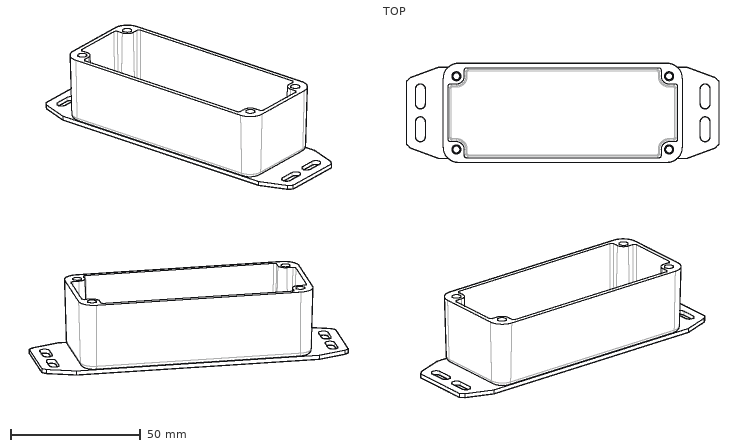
import cadquery as cq
import math

plate_length = 121.1
plate_width = 35.5
plate_thickness = 1.7
plate_ear_length = 12.6
plate_end_width = 24.2
plate_corner_cut = 1.6

slot_length = 9.6
slot_width = 3.8
slot_end_distance = 5.5
slot_spacing = 12.7

overall_height = 28.5
box_length = 92.5
box_width = 38.5
box_height = overall_height - plate_thickness
box_corner_radius = 5.9
box_bottom_radius = 1.7
draft_angle = 1.6
wall_thickness = 1.8
floor_thickness = 1.8
floor_edge_radius = 0.5
cavity_corner_radius = 1.0

boss_radius = 3.0
hole_diameter = 3.5
hole_bottom_diameter = 2.7
hole_depth = 18.2
drill_point_angle = 118.0
hole_x = 41.2
hole_y = 14.2

slot_x = plate_length / 2 - slot_end_distance
cavity_half_length = box_length / 2 - wall_thickness
cavity_half_width = box_width / 2 - wall_thickness
cavity_depth = box_height - floor_thickness


def make_plate():
    """Flat plate with a tapered, slotted ear at each end."""
    end_x = plate_length / 2
    ear_x = end_x - plate_ear_length
    cut_x = end_x - plate_corner_cut
    side_y = plate_width / 2
    end_y = plate_end_width / 2
    cut_y = end_y + plate_corner_cut
    corner = [(end_x, end_y), (cut_x, cut_y), (ear_x, side_y)]
    right_half = [(x, -y) for x, y in reversed(corner)] + corner
    left_half = [(-x, -y) for x, y in right_half]
    plate = cq.Workplane("XY").polyline(right_half + left_half).close().extrude(plate_thickness)
    slot_centres = [(x, y) for x in (-slot_x, slot_x) for y in (-slot_spacing / 2, slot_spacing / 2)]
    slots = (
        cq.Workplane("XY")
        .pushPoints(slot_centres)
        .slot2D(slot_length, slot_width, 90)
        .extrude(plate_thickness)
    )
    return plate.cut(slots)


def make_shell():
    """Solid box that narrows from the rim to a rounded bottom edge."""
    rim = cq.Sketch().rect(box_length, box_width).vertices().fillet(box_corner_radius)
    return (
        cq.Workplane("XY", origin=(0, 0, overall_height))
        .placeSketch(rim)
        .extrude(-box_height, taper=draft_angle)
        .faces("<Z")
        .edges()
        .fillet(box_bottom_radius)
    )


def is_cavity_corner(edge):
    """True for the upright edges where a boss side meets a cavity wall."""
    upright = edge.BoundingBox().zlen > cavity_depth / 2
    middle = edge.Center()
    beyond_boss_x = abs(middle.x) > (hole_x + cavity_half_length) / 2
    beyond_boss_y = abs(middle.y) > (hole_y + cavity_half_width) / 2
    return upright and (beyond_boss_x or beyond_boss_y)


def make_cavity():
    """Drafted pocket whose corners step in around the screw bosses."""
    step_x = hole_x - boss_radius
    step_y = hole_y - boss_radius
    arc_middle = boss_radius * math.sqrt(0.5)
    outline = cq.Workplane("XY", origin=(0, 0, overall_height)).moveTo(cavity_half_length, -step_y)
    for sign_x, sign_y, from_end in ((1, 1, True), (-1, 1, False), (-1, -1, True), (1, -1, False)):
        path = [
            (cavity_half_length, step_y),
            (hole_x, step_y),
            (hole_x - arc_middle, hole_y - arc_middle),
            (step_x, hole_y),
            (step_x, cavity_half_width),
        ]
        if not from_end:
            path.reverse()
        wall_end, arc_start, arc_mid, arc_end, next_wall = [(sign_x * x, sign_y * y) for x, y in path]
        outline = outline.lineTo(*wall_end).lineTo(*arc_start)
        outline = outline.threePointArc(arc_mid, arc_end).lineTo(*next_wall)
    return (
        outline.close()
        .extrude(-cavity_depth, taper=draft_angle)
        .edges()
        .filter(is_cavity_corner)
        .fillet(cavity_corner_radius)
        .faces("<Z")
        .edges()
        .fillet(floor_edge_radius)
    )


def make_screw_holes():
    """Blind holes, slightly narrower at the bottom, each ending in a conical drill point."""
    rim_radius = hole_diameter / 2
    bottom_radius = hole_bottom_diameter / 2
    point_depth = bottom_radius / math.tan(math.radians(drill_point_angle / 2))
    bottom_z = overall_height - hole_depth
    hole = (
        cq.Workplane("XZ")
        .moveTo(0, overall_height)
        .lineTo(rim_radius, overall_height)
        .lineTo(bottom_radius, bottom_z)
        .lineTo(0, bottom_z - point_depth)
        .close()
        .revolve(360, (0, 0), (0, 1))
    )
    holes = cq.Workplane("XY")
    for x in (-hole_x, hole_x):
        for y in (-hole_y, hole_y):
            holes = holes.add(hole.translate((x, y, 0)))
    return holes.combine()


def make_box():
    """Open box with its cavity and screw holes."""
    return make_shell().cut(make_cavity()).cut(make_screw_holes())


plate = make_plate()
box = make_box()

result = cq.Compound.makeCompound([plate.solids().val(), box.solids().val()])